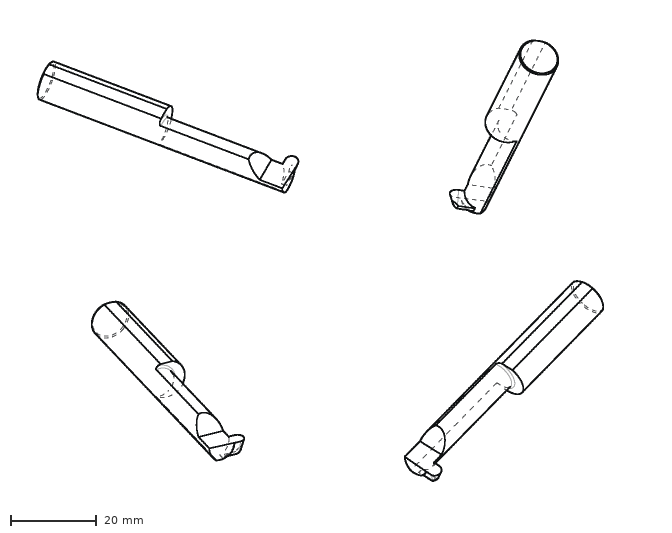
import cadquery as cq
import math

total_length = 63.5
shank_radius = 4.75
shank_length = 30.5
flat_height = 4.5
end_chamfer_length = 0.25
end_chamfer_depth = 0.3

neck_radius = 3.8
neck_side = 1.65
neck_axis_y = neck_side - neck_radius
neck_fillet = 0.5

ramp_foot_x = 57.4
tooth_width = 3.25
tooth_radius = tooth_width / 2
tooth_root_x = total_length - tooth_width
face_setback = 0.3
tooth_relief_angle = 15.0
tooth_depth = neck_radius
margin = 3.2


def x_cylinder(radius, length):
    return cq.Workplane("YZ").circle(radius).extrude(length)


def make_shank():
    flat_cut = cq.Workplane("XY").box(
        shank_length, 2 * shank_radius, margin, centered=(False, True, False)
    ).translate((0, 0, flat_height))
    shank = (
        x_cylinder(shank_radius, shank_length)
        .faces("<X")
        .chamfer(end_chamfer_length, end_chamfer_depth)
    )
    return shank.cut(flat_cut)


def make_neck():
    arc_mid = neck_fillet * (1 - math.sqrt(0.5))
    profile = (
        cq.Workplane("XY")
        .moveTo(shank_length, neck_axis_y)
        .lineTo(shank_length, neck_side + neck_fillet)
        .threePointArc(
            (shank_length + arc_mid, neck_side + arc_mid),
            (shank_length + neck_fillet, neck_side),
        )
        .lineTo(total_length, neck_side)
        .lineTo(total_length, neck_axis_y)
        .close()
    )
    neck = profile.revolve(360, (0, neck_axis_y, 0), (1, neck_axis_y, 0))
    return neck.intersect(x_cylinder(shank_radius, total_length))


def make_ramp_cut():
    rise = neck_radius + margin
    return (
        cq.Workplane("XZ", origin=(0, shank_radius, 0))
        .moveTo(ramp_foot_x, 0)
        .lineTo(ramp_foot_x - rise, rise)
        .lineTo(total_length + margin, rise)
        .lineTo(total_length + margin, 0)
        .close()
        .extrude(2 * shank_radius)
    )


def make_tooth():
    arc_center_y = shank_radius - tooth_radius
    tooth = (
        cq.Workplane("XY")
        .moveTo(tooth_root_x, neck_axis_y)
        .lineTo(tooth_root_x, arc_center_y)
        .threePointArc(
            (tooth_root_x + tooth_radius, shank_radius),
            (total_length, arc_center_y),
        )
        .lineTo(total_length, neck_axis_y)
        .close()
        .extrude(-tooth_depth, taper=tooth_relief_angle)
    )
    return tooth.intersect(x_cylinder(shank_radius, total_length))


def make_end_relief():
    return (
        cq.Workplane("XY", origin=(0, 0, -shank_radius))
        .moveTo(total_length, shank_radius - tooth_radius)
        .lineTo(total_length - face_setback, -shank_radius)
        .lineTo(total_length + margin, -shank_radius)
        .close()
        .extrude(2 * shank_radius)
    )


head = make_neck().cut(make_ramp_cut()).union(make_tooth())
result = make_shank().union(head.cut(make_end_relief()))